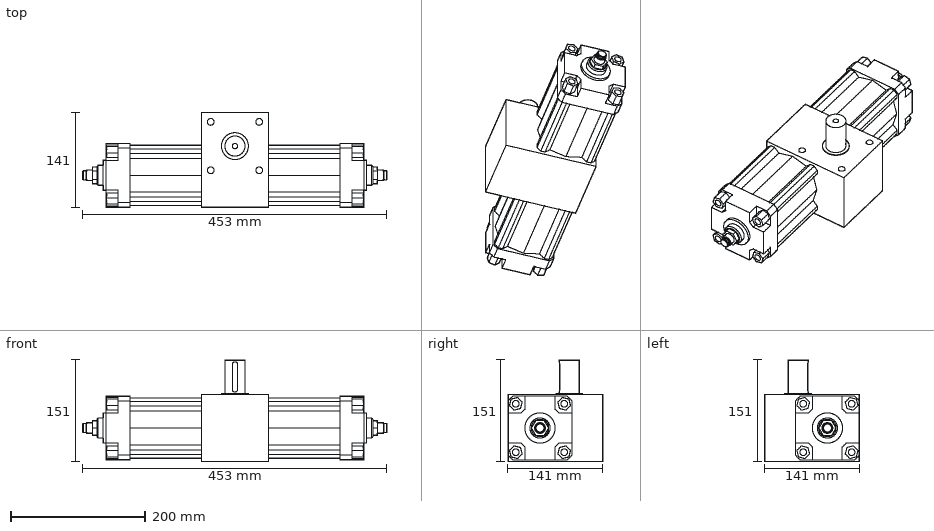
import cadquery as cq
import math

HOUSING_SIZE = 100.0
HOUSING_BACK_Y = 50.0
HOUSING_DEPTH_Y = 141.0
HOUSING_FRONT_Y = HOUSING_BACK_Y - HOUSING_DEPTH_Y
HALF_HOUSING = HOUSING_SIZE / 2

HOLE_SPACING = 72.0
MOUNT_HOLE_DIAMETER = 10.0
MOUNT_HOLE_DEPTH = 20.0
DRILL_POINT_ANGLE = 118.0

SHAFT_DIAMETER = 30.0
SHAFT_LENGTH = 51.0
SHAFT_HOLE_DIAMETER = 8.0
SHAFT_HOLE_DEPTH = 20.0
COLLAR_DIAMETER = 40.0
COLLAR_HEIGHT = 1.0
KEYWAY_WIDTH = 8.0
KEYWAY_LENGTH = 45.0
KEYWAY_DEPTH = 4.0
KEYWAY_TOP_GAP = 2.5

CAP_WIDTH = 95.0
CAP_LENGTH = 36.0
CAP_CHAMFER = 7.0
CAP_FACE_X = 192.0
CAP_INNER_X = CAP_FACE_X - CAP_LENGTH
HALF_CAP = CAP_WIDTH / 2
POCKET_DEPTH = 18.0
POCKET_EDGE = 22.0
POCKET_CHAMFER = 6.5

AXIS_Y = HOUSING_FRONT_Y + HALF_CAP
AXIS_Z = 0.0

BARREL_HALF_WIDTH = 45.0
LOBE_CHAMFER = 5.7
LOBE_INNER_EDGE = 32.5
VALLEY_OFFSET = 25.0
SIDE_TILT = 15.0

SCREW_ACROSS_FLATS = 17.0
SCREW_TURN = 45.0
SCREW_TIP_GAP = 1.0
SCREW_HOLE_DIAMETER = 10.0
SCREW_HOLE_DEPTH = 10.0

OVERALL_LENGTH = 453.0
TIP_X = OVERALL_LENGTH / 2
FLANGE_DIAMETER = 45.0
FLANGE_X = 196.0
BOSS_DIAMETER = 30.0
BOSS_X = 205.5
BOSS_CHAMFER = 2.0
NUT_ACROSS_FLATS = 22.0
NUT_X = 212.0
PIN_DIAMETER = 16.0
PIN_X = 220.7
GROOVE_DIAMETER = 12.0
GROOVE_X = 222.0
TIP_DIAMETER = 14.0
TIP_CHAMFER = 1.0


def axial(x):
    """Work plane at distance x along the cylinder axis, local axes along Y and Z."""
    return cq.Workplane("YZ", origin=(x, AXIS_Y, AXIS_Z))


def drilled(diameter, depth):
    """Drill-shaped cutter standing below the origin, pointing to -Z."""
    radius = diameter / 2
    point = radius / math.tan(math.radians(DRILL_POINT_ANGLE / 2))
    outline = [(0, 0), (radius, 0), (radius, -depth), (0, -depth - point)]
    return cq.Workplane("XZ").polyline(outline).close().revolve(360, (0, 0, 0), (0, 1, 0))


def hexagon(plane, across_flats, turn):
    """Hexagon with its first corner turned from the local X axis by an angle in degrees."""
    radius = across_flats / math.sqrt(3)
    angles = [math.radians(turn + 60 * i) for i in range(6)]
    return plane.polyline([(radius * math.cos(a), radius * math.sin(a)) for a in angles]).close()


def make_housing():
    housing = cq.Workplane("XY").box(HOUSING_SIZE, HOUSING_DEPTH_Y, HOUSING_SIZE)
    housing = housing.translate((0, HOUSING_BACK_Y - HOUSING_DEPTH_Y / 2, 0))
    half = HOLE_SPACING / 2
    cutter = drilled(MOUNT_HOLE_DIAMETER, MOUNT_HOLE_DEPTH)
    for x in (-half, half):
        for y in (-half, half):
            housing = housing.cut(cutter.translate((x, y, HALF_HOUSING)))
    return housing


def make_shaft():
    base = cq.Workplane("XY").workplane(offset=HALF_HOUSING)
    shaft = base.circle(SHAFT_DIAMETER / 2).extrude(SHAFT_LENGTH)
    shaft = shaft.union(base.circle(COLLAR_DIAMETER / 2).extrude(COLLAR_HEIGHT))
    top_z = HALF_HOUSING + SHAFT_LENGTH
    shaft = shaft.cut(drilled(SHAFT_HOLE_DIAMETER, SHAFT_HOLE_DEPTH).translate((0, 0, top_z)))
    keyway_z = top_z - KEYWAY_TOP_GAP - KEYWAY_LENGTH / 2
    keyway = (
        cq.Workplane("XZ", origin=(0, KEYWAY_DEPTH - SHAFT_DIAMETER / 2, keyway_z))
        .slot2D(KEYWAY_LENGTH, KEYWAY_WIDTH, 90)
        .extrude(SHAFT_DIAMETER / 2)
    )
    return shaft.cut(keyway)


def make_barrel():
    valley_depth = BARREL_HALF_WIDTH - (LOBE_INNER_EDGE - VALLEY_OFFSET)
    ridge = valley_depth + VALLEY_OFFSET * math.tan(math.radians(SIDE_TILT))
    lobe_outer_edge = BARREL_HALF_WIDTH - LOBE_CHAMFER
    side = [
        (BARREL_HALF_WIDTH, -lobe_outer_edge),
        (BARREL_HALF_WIDTH, -LOBE_INNER_EDGE),
        (valley_depth, -VALLEY_OFFSET),
        (ridge, 0),
        (valley_depth, VALLEY_OFFSET),
        (BARREL_HALF_WIDTH, LOBE_INNER_EDGE),
        (BARREL_HALF_WIDTH, lobe_outer_edge),
    ]
    outline = []
    for cos, sin in ((1, 0), (0, 1), (-1, 0), (0, -1)):
        outline += [(u * cos - v * sin, u * sin + v * cos) for u, v in side]
    return axial(HALF_HOUSING).polyline(outline).close().extrude(CAP_INNER_X - HALF_HOUSING)


def make_cap():
    cap = axial(CAP_INNER_X).rect(CAP_WIDTH, CAP_WIDTH).extrude(CAP_LENGTH)
    cap = cap.edges("|X").chamfer(CAP_CHAMFER)
    pocket_size = CAP_WIDTH
    pocket_centre = POCKET_EDGE + pocket_size / 2
    for y in (-pocket_centre, pocket_centre):
        for z in (-pocket_centre, pocket_centre):
            pocket = axial(CAP_FACE_X - POCKET_DEPTH).center(y, z).rect(pocket_size, pocket_size)
            cap = cap.cut(pocket.extrude(POCKET_DEPTH).edges("|X").chamfer(POCKET_CHAMFER))
    return cap


def make_screw():
    """Screw head on the cylinder axis, one corner pointing along the +Y +Z diagonal."""
    start = CAP_FACE_X - POCKET_DEPTH
    length = POCKET_DEPTH - SCREW_TIP_GAP
    screw = hexagon(axial(start), SCREW_ACROSS_FLATS, SCREW_TURN).extrude(length)
    hole = axial(start + length - SCREW_HOLE_DEPTH).circle(SCREW_HOLE_DIAMETER / 2)
    return screw.cut(hole.extrude(SCREW_HOLE_DEPTH))


def make_adjuster():
    def step(diameter, start, end):
        return axial(start).circle(diameter / 2).extrude(end - start)

    boss = step(BOSS_DIAMETER, FLANGE_X, BOSS_X).faces(">X").chamfer(BOSS_CHAMFER)
    nut = hexagon(axial(BOSS_X), NUT_ACROSS_FLATS, 0).extrude(NUT_X - BOSS_X)
    pin = step(PIN_DIAMETER, NUT_X, PIN_X)
    groove = step(GROOVE_DIAMETER, PIN_X, GROOVE_X)
    tip = step(TIP_DIAMETER, GROOVE_X, TIP_X).faces(">X").chamfer(TIP_CHAMFER)
    adjuster = step(FLANGE_DIAMETER, CAP_FACE_X, FLANGE_X)
    for piece in (boss, nut, pin, groove, tip):
        adjuster = adjuster.union(piece)
    return adjuster


def make_cylinder():
    """Barrel, cap, adjuster and screws on the +X side of the housing."""
    cylinder = make_barrel().union(make_cap()).union(make_adjuster())
    half = HOLE_SPACING / 2
    corner_screw = make_screw().translate((0, half, half))
    axis_start = (0, AXIS_Y, AXIS_Z)
    axis_end = (1, AXIS_Y, AXIS_Z)
    for angle in (0, 90, 180, 270):
        cylinder = cylinder.union(corner_screw.rotate(axis_start, axis_end, angle))
    return cylinder


cylinder = make_cylinder()
result = make_housing().union(make_shaft()).union(cylinder).union(cylinder.mirror("YZ"))